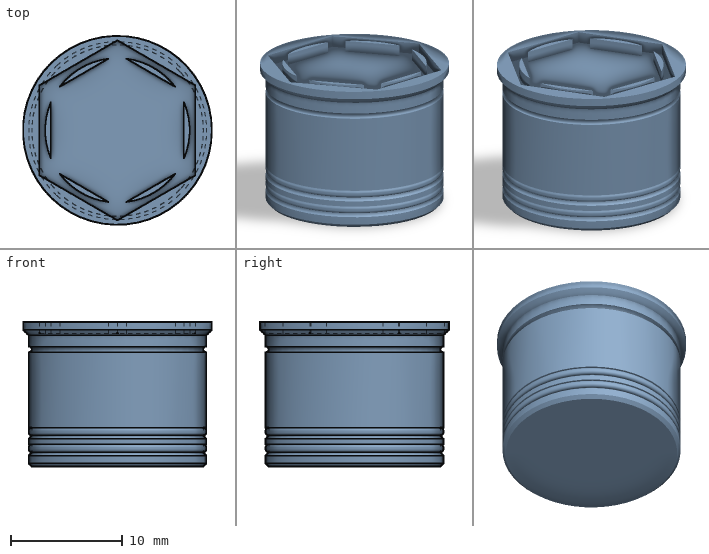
import cadquery as cq
import math

height = 13.0
flange_radius = 8.5
body_radius = 8.0
flange_thickness = 0.7
flange_cone_height = flange_radius - body_radius
bottom_chamfer = 0.3

neck_groove_top = height - 2.21
neck_groove_height = 0.5
neck_groove_depth = 0.29

seal_groove_bottoms = [1.0, 2.5]
seal_groove_depth = 0.3
seal_slope_height = 0.3
seal_ring_height = 0.7
seal_edge_radius = 0.29
seal_inner_radius = body_radius - seal_groove_depth

recess_depth = 1.0
recess_apothem = 7.0
island_radius = 6.5
island_apothem = 5.98


def hexagon(apothem, depth):
    """Hexagonal prism below the top face, with two corners on the Y axis."""
    corner_diameter = 2 * apothem / math.cos(math.pi / 6)
    prism = cq.Workplane("XY").polygon(6, corner_diameter).extrude(depth)
    return prism.rotate((0, 0, 0), (0, 0, 1), 30).translate((0, 0, height - depth))


def revolve_profile(profile):
    """Close a radius-height outline and turn it around the Z axis."""
    return profile.close().revolve(360, (0, 0, 0), (0, 1, 0))


def make_blank():
    """Solid flanged cylinder with a chamfered bottom edge."""
    flange_bottom = height - flange_thickness
    return revolve_profile(
        cq.Workplane("XZ")
        .moveTo(0, 0)
        .lineTo(body_radius - bottom_chamfer, 0)
        .lineTo(body_radius, bottom_chamfer)
        .lineTo(body_radius, flange_bottom - flange_cone_height)
        .lineTo(flange_radius, flange_bottom)
        .lineTo(flange_radius, height)
        .lineTo(0, height)
    )


def make_neck_groove():
    """Cutter for the groove: short flat walls joined by a half-round floor."""
    arc_radius = neck_groove_height / 2
    floor_radius = body_radius - neck_groove_depth
    wall_end = floor_radius + arc_radius
    bottom = neck_groove_top - neck_groove_height
    return revolve_profile(
        cq.Workplane("XZ")
        .moveTo(flange_radius, bottom)
        .lineTo(wall_end, bottom)
        .threePointArc((floor_radius, bottom + arc_radius), (wall_end, neck_groove_top))
        .lineTo(flange_radius, neck_groove_top)
    )


def make_seal_groove(bottom):
    """Cutter for the seat of one seal ring."""
    seat_bottom = bottom + seal_slope_height
    top = seat_bottom + seal_ring_height
    return revolve_profile(
        cq.Workplane("XZ")
        .moveTo(body_radius, bottom)
        .lineTo(seal_inner_radius, seat_bottom)
        .lineTo(seal_inner_radius, top)
        .lineTo(flange_radius, top)
        .lineTo(flange_radius, bottom)
    )


def make_hex_recess():
    """Cutter for the hexagonal recess, leaving the six segments standing."""
    disc = cq.Workplane("XY").workplane(offset=height - recess_depth).circle(island_radius).extrude(recess_depth)
    islands = disc.cut(hexagon(island_apothem, recess_depth))
    return hexagon(recess_apothem, recess_depth).cut(islands)


def make_plug():
    plug = make_blank().cut(make_neck_groove())
    for bottom in seal_groove_bottoms:
        plug = plug.cut(make_seal_groove(bottom))
    return plug.cut(make_hex_recess())


def make_seal_ring(groove_bottom):
    """Ring flush with the plug, resting on the flat seat, with rounded outer edges."""
    ring = (
        cq.Workplane("XY")
        .workplane(offset=groove_bottom + seal_slope_height)
        .circle(body_radius)
        .circle(seal_inner_radius)
        .extrude(seal_ring_height)
    )
    outer_edges = cq.selectors.RadiusNthSelector(-1)
    return ring.edges("%CIRCLE").edges(outer_edges).fillet(seal_edge_radius)


plug = make_plug()
seal_rings = [make_seal_ring(bottom) for bottom in seal_groove_bottoms]

result = cq.Compound.makeCompound([plug.val(), *[ring.val() for ring in seal_rings]])